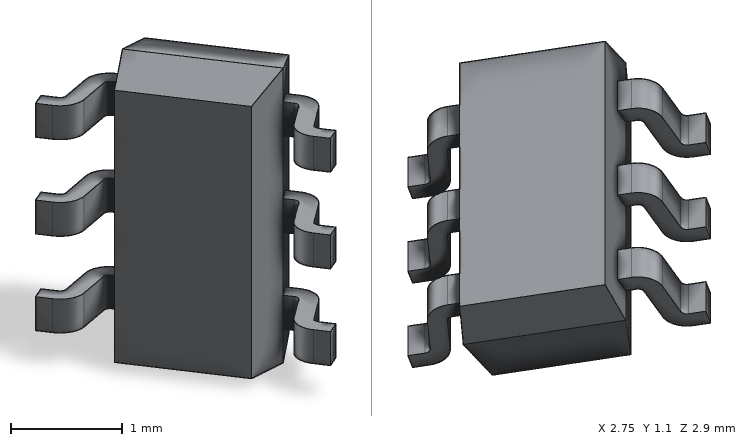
import cadquery as cq
import math


package_span = 2.75
package_depth = 1.1
body_length = 2.9

body_width = 1.5
parting_y = 0.645
draft_angle = 9.8

leads_per_side = 3
lead_pitch = 0.95
lead_width = 0.334
lead_thickness = 0.18
inner_bend_radius = 0.06
outer_bend_radius = inner_bend_radius + lead_thickness
foot_length = 0.16
leg_tilt = 10.0


def make_front_shell():
    """Body half from the parting plane to the seating plane, tapering towards -Y."""
    return (
        cq.Workplane("XZ", origin=(0, parting_y, 0))
        .rect(body_width, body_length)
        .extrude(parting_y, taper=draft_angle)
    )


def make_back_shell():
    """Body half from the parting plane to the back face, tapering towards +Y."""
    return (
        cq.Workplane("ZX", origin=(0, parting_y, 0))
        .rect(body_length, body_width)
        .extrude(package_depth - parting_y, taper=draft_angle)
    )


def point_on_arc(center, radius, degrees):
    """XY point at the given angle on a circle."""
    angle = math.radians(degrees)
    return (center[0] + radius * math.cos(angle), center[1] + radius * math.sin(angle))


def make_left_lead(center_z):
    """Lead on the -X side: foot, tilted leg and shoulder that ends flush on the body flank."""
    tilt = math.radians(leg_tilt)
    tip_x = -package_span / 2
    shoulder_top_y = parting_y + lead_thickness

    foot_center = (tip_x + foot_length, outer_bend_radius)
    shoulder_center_y = parting_y - inner_bend_radius
    center_offset = outer_bend_radius + inner_bend_radius
    center_rise = shoulder_center_y - foot_center[1]
    leg_length = (center_rise + center_offset * math.sin(tilt)) / math.cos(tilt)
    shoulder_center_x = foot_center[0] + center_offset * math.cos(tilt) + leg_length * math.sin(tilt)
    shoulder_center = (shoulder_center_x, shoulder_center_y)

    foot_flat, foot_leg = -90, -leg_tilt
    foot_middle = (foot_flat + foot_leg) / 2
    shoulder_flat, shoulder_leg = 90, 180 - leg_tilt
    shoulder_middle = (shoulder_flat + shoulder_leg) / 2

    flank_x = -body_width / 2
    flank_top_x = flank_x + lead_thickness * math.tan(math.radians(draft_angle))

    return (
        cq.Workplane("XY", origin=(0, 0, center_z - lead_width / 2))
        .moveTo(tip_x, 0)
        .lineTo(foot_center[0], 0)
        .threePointArc(
            point_on_arc(foot_center, outer_bend_radius, foot_middle),
            point_on_arc(foot_center, outer_bend_radius, foot_leg),
        )
        .lineTo(*point_on_arc(shoulder_center, inner_bend_radius, shoulder_leg))
        .threePointArc(
            point_on_arc(shoulder_center, inner_bend_radius, shoulder_middle),
            point_on_arc(shoulder_center, inner_bend_radius, shoulder_flat),
        )
        .lineTo(flank_x, parting_y)
        .lineTo(flank_top_x, shoulder_top_y)
        .lineTo(shoulder_center[0], shoulder_top_y)
        .threePointArc(
            point_on_arc(shoulder_center, outer_bend_radius, shoulder_middle),
            point_on_arc(shoulder_center, outer_bend_radius, shoulder_leg),
        )
        .lineTo(*point_on_arc(foot_center, inner_bend_radius, foot_leg))
        .threePointArc(
            point_on_arc(foot_center, inner_bend_radius, foot_middle),
            point_on_arc(foot_center, inner_bend_radius, foot_flat),
        )
        .lineTo(tip_x, lead_thickness)
        .close()
        .extrude(lead_width)
    )


front_shell = make_front_shell()
back_shell = make_back_shell()

leads = []
for index in range(leads_per_side):
    lead_z = (index - (leads_per_side - 1) / 2) * lead_pitch
    left_lead = make_left_lead(lead_z)
    right_lead = left_lead.mirror("YZ")
    leads.extend([left_lead.val(), right_lead.val()])

result = cq.Compound.makeCompound([front_shell.val(), back_shell.val(), *leads])